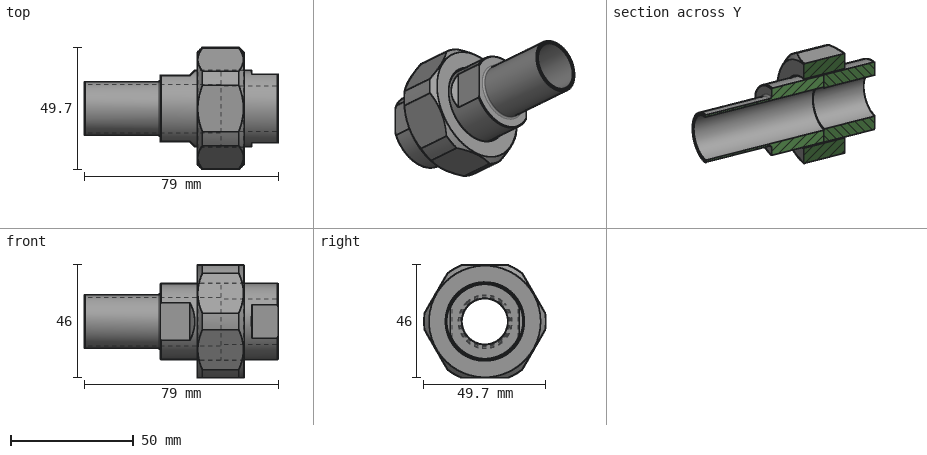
import cadquery as cq
import math

total_length = 79.0
shoulder_start = 30.9
nut_start = 45.9
nut_length = 19.1
nut_end = nut_start + nut_length
joint_x = nut_start + nut_length / 2

tube_diameter = 22.0
tube_bore = 19.6
tube_edge_chamfer = 0.3
tube_root_radius = 0.8
shoulder_diameter = 31.05
shoulder_chamfer = 0.3
tail_flat_width = 26.9
tail_flat_end = 42.9
tail_flat_runout = (shoulder_diameter - tail_flat_width) / 2

socket_diameter = 31.2
socket_bore = 18.65
socket_chamfer = 0.5
socket_flat_width = 28.05
socket_flat_start = 68.25
socket_flat_runout = 0.2

nut_across_flats = 46.0
nut_corner_diameter = 49.7
nut_face_diameter = 45.4
nut_bore = 31.5
nut_bore_chamfer = 0.3


def cylinder(diameter, start, end):
    """Solid cylinder on the X axis between two X positions."""
    return cq.Workplane("YZ", origin=(start, 0, 0)).circle(diameter / 2).extrude(end - start)


def cut_wrench_flats(body, diameter, width, open_end, inner_end, runout):
    """Cut two opposite flats; each end wall leans by runout along X up to the round surface."""
    flat_y = width / 2
    outer_y = diameter / 2
    flat_cut = (
        cq.Workplane("XY")
        .polyline([
            (open_end, flat_y),
            (inner_end, flat_y),
            (inner_end + runout, outer_y),
            (open_end, outer_y),
        ])
        .close()
        .extrude(diameter / 2, both=True)
    )
    return body.cut(flat_cut).cut(flat_cut.mirror("XZ"))


def make_tailpiece():
    tube = cylinder(tube_diameter, 0, shoulder_start)
    shoulder = cylinder(shoulder_diameter, shoulder_start, joint_x)
    shoulder = shoulder.faces("<X").chamfer(shoulder_chamfer)

    shoulder = cut_wrench_flats(
        shoulder, shoulder_diameter, tail_flat_width, shoulder_start, tail_flat_end, tail_flat_runout
    )

    tube_radius = tube_diameter / 2
    arc_offset = tube_root_radius * (1 - math.sqrt(0.5))
    root_fillet = (
        cq.Workplane("XY")
        .moveTo(shoulder_start, 0)
        .lineTo(shoulder_start, tube_radius + tube_root_radius)
        .threePointArc(
            (shoulder_start - arc_offset, tube_radius + arc_offset),
            (shoulder_start - tube_root_radius, tube_radius),
        )
        .lineTo(shoulder_start - tube_root_radius, 0)
        .close()
        .revolve(360, (0, 0, 0), (1, 0, 0))
    )

    body = tube.union(root_fillet).union(shoulder)
    body = body.cut(cylinder(tube_bore, 0, joint_x))
    return body.faces("<X").edges().chamfer(tube_edge_chamfer)


def make_socket():
    body = cylinder(socket_diameter, joint_x, total_length)
    body = body.faces(">X").chamfer(socket_chamfer)

    body = cut_wrench_flats(
        body, socket_diameter, socket_flat_width, total_length, socket_flat_start, -socket_flat_runout
    )
    return body.cut(cylinder(socket_bore, joint_x, total_length))


def make_nut():
    across_corners = nut_across_flats / math.cos(math.pi / 6)
    hexagon = (
        cq.Workplane("YZ", origin=(nut_start, 0, 0))
        .polygon(6, across_corners)
        .extrude(nut_length)
    )
    corner_bevel = (nut_corner_diameter - nut_face_diameter) / 2
    envelope = cylinder(nut_corner_diameter, nut_start, nut_end)
    envelope = envelope.faces("<X or >X").chamfer(corner_bevel)

    nut = hexagon.intersect(envelope).cut(cylinder(nut_bore, nut_start, nut_end))
    bore_edges = cq.selectors.RadiusNthSelector(0)
    return nut.faces("<X or >X").edges(bore_edges).chamfer(nut_bore_chamfer)


tailpiece = make_tailpiece()
socket = make_socket()
nut = make_nut()

result = cq.Compound.makeCompound([tailpiece.val(), socket.val(), nut.val()])